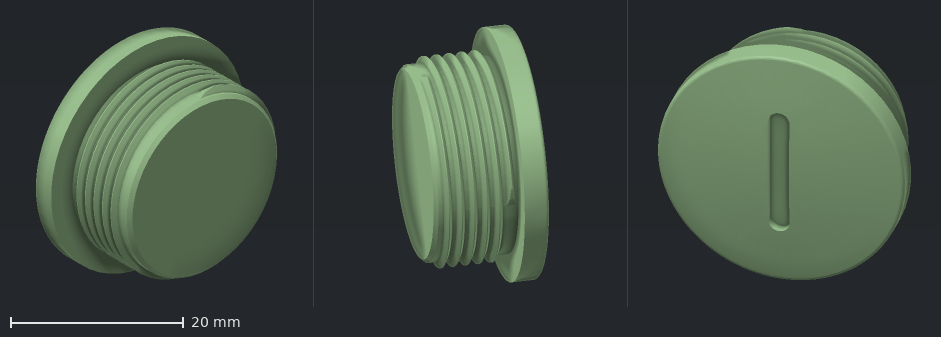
import cadquery as cq
import math

total_length = 13.97

head_radius = 14.9
head_back = 4.0
dome_height = 1.1
rim_fillet = 0.45

shank_radius = 11.58
shank_chamfer = 0.48

slot_width = 2.62
slot_length = 15.78
slot_floor = 1.52

thread_rise = 7.85
thread_turns = 5.25
thread_pitch = thread_rise / thread_turns
thread_start = 4.85
thread_height = 0.77
thread_base_width = 1.0
thread_crest_width = 0.12
thread_root_depth = 0.12

ramp_knee_run = 0.98
ramp_knee_height = 0.4
ramp_top_run = 2.68
ramp_top_height = 0.55


def dome_point(radius):
    """Point of the spherical dome at a given distance from the axis."""
    sphere_radius = (head_radius**2 + dome_height**2) / (2 * dome_height)
    return (sphere_radius - math.sqrt(sphere_radius**2 - radius**2), radius)


def make_body():
    """Head and shank as one revolved solid."""
    profile = (
        cq.Workplane("XY")
        .moveTo(0, 0)
        .threePointArc(dome_point(head_radius / 2), dome_point(head_radius))
        .lineTo(head_back, head_radius)
        .lineTo(head_back, shank_radius)
        .lineTo(total_length - shank_chamfer, shank_radius)
        .lineTo(total_length, shank_radius - shank_chamfer)
        .lineTo(total_length, 0)
        .close()
    )
    body = profile.revolve(360, (0, 0, 0), (1, 0, 0))
    head_circles = body.edges("%CIRCLE").filter(
        lambda circle: circle.IsClosed() and circle.radius() > shank_radius
    )
    rim = head_circles.sort(lambda circle: circle.Center().x).first()
    return rim.fillet(rim_fillet)


def make_slot():
    """Screwdriver slot with round ends, standing along Z."""
    return cq.Workplane("YZ").slot2D(slot_length, slot_width, 90).extrude(slot_floor)


def make_ramp_cutter():
    """Block above a thread end at the top of the shank; the thread rises along +Y."""
    crest = shank_radius + thread_height
    clear = crest + thread_height
    return (
        cq.Workplane("YZ")
        .moveTo(-ramp_top_run, shank_radius - thread_root_depth)
        .lineTo(0, shank_radius)
        .lineTo(ramp_knee_run, shank_radius + ramp_knee_height)
        .lineTo(ramp_top_run, shank_radius + ramp_top_height)
        .lineTo(ramp_top_run, clear)
        .lineTo(-ramp_top_run, clear)
        .close()
        .extrude(thread_pitch)
    )


def make_thread():
    """Right-handed trapezoidal ridge winding from the +Y side, ending at the +Z side."""
    flank_slope = (thread_base_width - thread_crest_width) / (2 * thread_height)
    root_half = thread_base_width / 2 + flank_slope * thread_root_depth
    crest_half = thread_crest_width / 2
    root = shank_radius - thread_root_depth
    crest = shank_radius + thread_height
    path = cq.Wire.makeHelix(thread_pitch, thread_rise, shank_radius)
    ridge = (
        cq.Workplane("XZ")
        .moveTo(root, -root_half)
        .lineTo(crest, -crest_half)
        .lineTo(crest, crest_half)
        .lineTo(root, root_half)
        .close()
        .sweep(cq.Workplane(path), isFrenet=True)
    )
    ridge = ridge.rotate((0, 0, 0), (1, 1, 1), 120).translate((thread_start, 0, 0))

    cutter = make_ramp_cutter()
    thread_end = thread_start + thread_rise
    end_cutter = cutter.translate((thread_end - thread_pitch / 2, 0, 0))
    start_cutter = (
        cutter.mirror("XZ")
        .rotate((0, 0, 0), (1, 0, 0), -90)
        .translate((thread_start - thread_pitch / 2, 0, 0))
    )
    return ridge.cut(end_cutter).cut(start_cutter)


result = make_body().union(make_thread()).cut(make_slot())